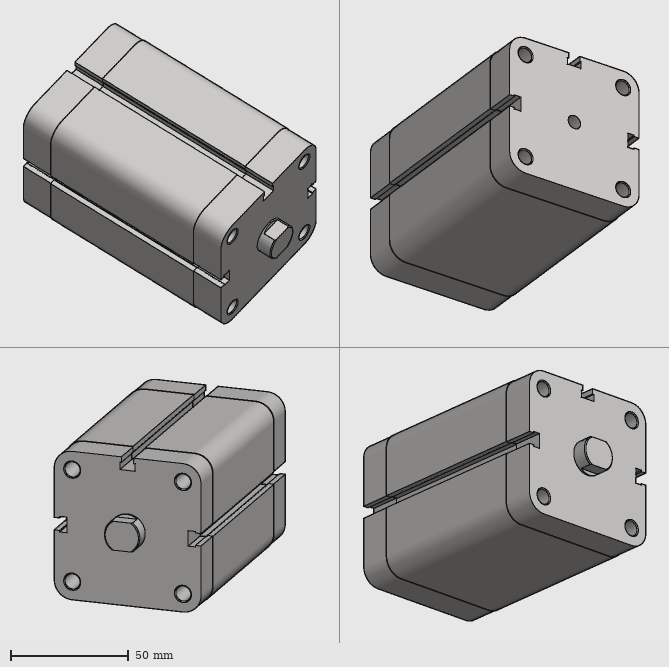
import cadquery as cq

total_length = 113.5
cap_length = 14.8
rod_length = 7.3
tube_length = total_length - 2 * cap_length - rod_length
tube_start = cap_length
front_cap_start = tube_start + tube_length
front_face = front_cap_start + cap_length

tube_side = 67.0
cap_side = 66.5
hole_pitch = 50.2
hole_diameter = 6.8
hole_chamfer = 0.5

slot_opening = 5.6
slot_lip_height = 30.8
slot_floor_height = 27.5
cap_slot_width = 6.9
tube_slot_width = 6.5

bore_diameter = 6.4

rod_diameter = 16.0
rod_chamfer = 0.5
across_flats = 12.9
shoulder_foot = 1.1
shoulder_run = 0.5


def section_plane(x):
    """Plane square to the X axis: local x is +Y, local y is +Z."""
    return cq.Workplane("YZ", origin=(x, 0, 0))


def slotted_bar(x, length, side, slot_width):
    """Rounded square bar along X with three T-slots and four through holes."""
    corner_radius = (side - hole_pitch) / 2
    bar = section_plane(x).rect(side, side).extrude(length).edges("|X").fillet(corner_radius)
    for angle in (-90, 0, 90):
        bar = bar.cut(t_slot(x, length, slot_width).rotate((0, 0, 0), (1, 0, 0), angle))
    holes = section_plane(x).rect(hole_pitch, hole_pitch, forConstruction=True).vertices()
    return bar.cut(holes.circle(hole_diameter / 2).extrude(length))


def t_slot(x, length, width):
    """Cutter for the T-slot on the top side."""
    half_opening = slot_opening / 2
    half_width = width / 2
    outline = [
        (-half_width, slot_floor_height),
        (half_width, slot_floor_height),
        (half_width, slot_lip_height),
        (half_opening, slot_lip_height),
        (half_opening, tube_side),
        (-half_opening, tube_side),
        (-half_opening, slot_lip_height),
        (-half_width, slot_lip_height),
    ]
    return section_plane(x).polyline(outline).close().extrude(length)


def end_cap(x, outer_face):
    """End cap whose screw holes are chamfered on its outer face."""
    cap = slotted_bar(x, cap_length, cap_side, cap_slot_width)
    hole_rims = cap.faces(outer_face).edges("%CIRCLE").edges(cq.selectors.RadiusNthSelector(0))
    return hole_rims.chamfer(hole_chamfer)


def make_rear_cap():
    bore = section_plane(0).circle(bore_diameter / 2).extrude(cap_length)
    return end_cap(0, "<X").cut(bore)


def make_rod():
    """Rod end standing on the front cap, with flats that end in sloped shoulders."""
    radius = rod_diameter / 2
    half_flat = across_flats / 2
    rod = section_plane(front_face).circle(radius).extrude(rod_length).faces(">X").chamfer(rod_chamfer)
    shoulder_top = front_face + shoulder_foot - shoulder_run
    flat_start = front_face + shoulder_foot
    flat_outline = [
        (shoulder_top, radius),
        (flat_start, half_flat),
        (total_length, half_flat),
        (total_length, radius),
    ]
    flat = cq.Workplane("XZ").polyline(flat_outline).close().extrude(radius, both=True)
    return rod.cut(flat).cut(flat.mirror("XY"))


rear_cap = make_rear_cap()
tube = slotted_bar(tube_start, tube_length, tube_side, tube_slot_width)
front_cap = end_cap(front_cap_start, ">X")
rod = make_rod()

result = cq.Compound.makeCompound([rear_cap.val(), tube.val(), front_cap.val(), rod.val()])